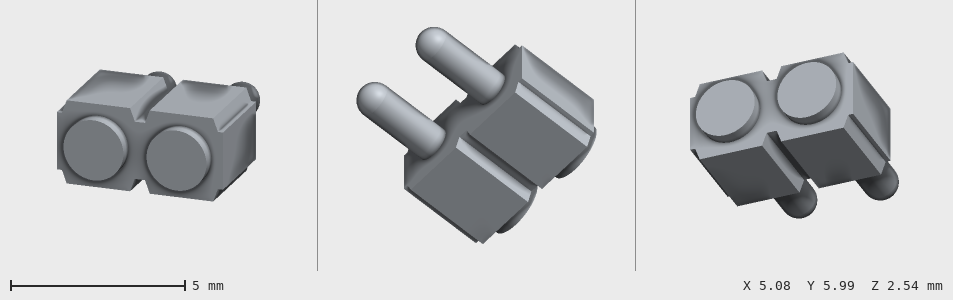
import cadquery as cq

pin_count = 2
pitch = 2.54
total_length = 5.99

housing_length = 2.785
side_height = 1.75
lobe_top_width = 1.94
lobe_base_width = 2.23

head_diameter = 1.83
head_length = 0.415
shank_diameter = 1.065

housing_width = pin_count * pitch
shank_radius = shank_diameter / 2
shank_length = total_length - head_length
pin_positions = [(i - (pin_count - 1) / 2) * pitch for i in range(pin_count)]


def along_y(profile, length):
    """Extrude an XZ-plane profile from Y = 0 toward +Y."""
    return profile.extrude(-length)


def make_lobe(x):
    """Raised lobe around one pin, tapering toward its top and bottom flats."""
    top = lobe_top_width / 2
    base = lobe_base_width / 2
    upper = [(-base, side_height / 2), (-top, pitch / 2), (top, pitch / 2), (base, side_height / 2)]
    lower = [(-px, -pz) for px, pz in upper]
    profile = cq.Workplane("XZ").center(x, 0).polyline(upper + lower).close()
    return along_y(profile, housing_length)


def make_housing():
    """Block with a tapered lobe and a through hole for each pin."""
    housing = along_y(cq.Workplane("XZ").rect(housing_width, side_height), housing_length)
    for x in pin_positions:
        housing = housing.union(make_lobe(x))
    for x in pin_positions:
        hole = along_y(cq.Workplane("XZ").center(x, 0).circle(shank_radius), housing_length)
        housing = housing.cut(hole)
    return housing.solids()


def make_pin(x):
    """Headed pin with a hemispherical tip, revolved about its own axis."""
    tip_start = shank_length - shank_radius
    arc_offset = shank_radius * 0.5 ** 0.5
    return (
        cq.Workplane("XY")
        .moveTo(0, -head_length)
        .lineTo(head_diameter / 2, -head_length)
        .lineTo(head_diameter / 2, 0)
        .lineTo(shank_radius, 0)
        .lineTo(shank_radius, tip_start)
        .threePointArc((arc_offset, tip_start + arc_offset), (0, shank_length))
        .close()
        .revolve(360, (0, 0, 0), (0, 1, 0))
        .translate((x, 0, 0))
    )


housing = make_housing()
pins = [make_pin(x) for x in pin_positions]

result = cq.Compound.makeCompound([housing.val(), *[pin.val() for pin in pins]])